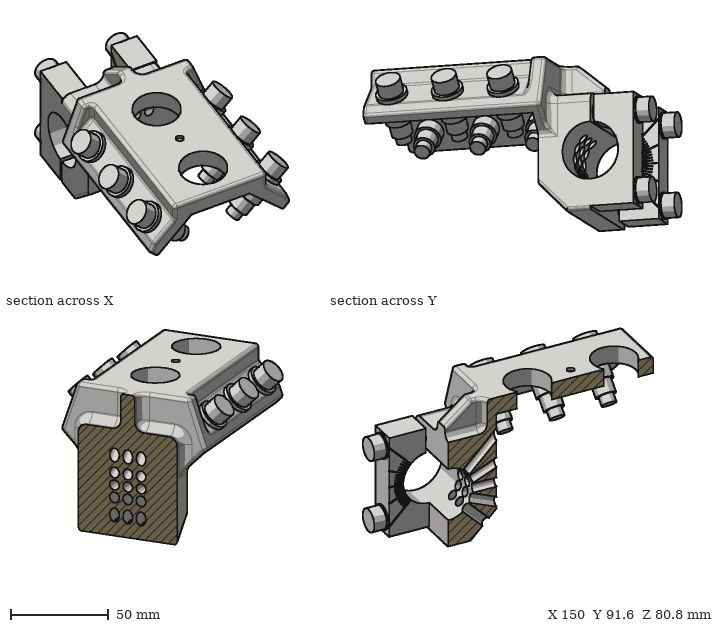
import cadquery as cq
import math

EDGE_R = 2.0
BLEND_R = 5.0
CLEARANCE = 7.5
TOL = 0.2

BORE_R = 15
BODY_LENGTH = 28.0
BODY_HALF_WIDTH = 28.0
SHOULDER_Z = 30.6
BODY_BOTTOM = -30.8
BODY_CHAMFER = 15

PLATE_LEFT = 22.8
PLATE_RIGHT = 118.8
PLATE_TOP = 50.0
PLATE_THICKNESS = 10.0
PLATE_TOP_HALF_WIDTH = 31.8
PLATE_HALF_WIDTH = 41.0
WIDEST_Z = 23.4
INNER_FACE = 28.4

RIB_HALF_WIDTH = 4.0
RIB_FRONT_Z = 37.8
RIB_TOP_X = 15

POCKET_LEFT = 30.9
POCKET_WALL_Y = 27.2
POCKET_FLOOR = 34.0

PLATE_HOLE_R = 12.5
PLATE_HOLE_X = (50.0, 100.0)
PIN_HOLE_X = 74.8
PIN_HOLE_R = 2.1
PIN_HOLE_DEPTH = 2.0
RADIAL_HOLE_R = 2.5
RADIAL_HOLE_LENGTH = 48
RADIAL_HOLE_Y = (-7.5, 0, 7.5)
STATION_ANGLES = (-45, -22.5, 0, 22.5, 45)

SHANK_R = 4.0
HEAD_R = 6.5
RAIL_WASHER_R = 8.1
RAIL_SLEEVE_R = 5.5
RAIL_SCREW_X = (44.7, 74.7, 104.7)
OVERALL_HALF_WIDTH = 45.8
RAIL_HEAD_TOP = OVERALL_HALF_WIDTH - HEAD_R * math.sqrt(0.5)
RAIL_WASHER_TOP = 35.7
RAIL_COLLAR_R = 6.9
RAIL_COLLAR_END = 23.4
RAIL_SLEEVE_END = 17.8
RAIL_SHANK_END = 14.4

CAP_LEFT = -23.2
CAP_HALF_HEIGHT = 29.1
CAP_INNER_Y = 13.0
CAP_GAP = 2.0
CAP_SCREW_Y = 20.5
CAP_SCREW_Z = 21
CAP_HEAD_LEFT = -31.2
CAP_COLLAR_LEFT = -24.2
CAP_COLLAR_R = 6.9
CAP_SCREW_DEPTH = 15

MARK_WIDTH = 0.3
MARK_DEPTH = 0.3
MARK_OUTER_R = 20.0
LONG_MARK_OUTER_R = 37.5
MARKS_PER_STATION = 5


def box(x, y, z):
    """Box given by its (low, high) range along each axis."""
    size = (x[1] - x[0], y[1] - y[0], z[1] - z[0])
    return cq.Workplane("XY").box(*size, centered=False).translate((x[0], y[0], z[0]))


def extrude_along_x(points, left, right):
    outline = cq.Workplane("YZ", origin=(left, 0, 0)).polyline(points).close()
    return outline.extrude(right - left)


def extrude_along_y(points, half_width):
    return cq.Workplane("XZ").polyline(points).close().extrude(half_width, both=True)


def cylinder(start, direction, length, radius):
    return cq.Workplane(cq.Solid.makeCylinder(radius, length, cq.Vector(*start), cq.Vector(*direction)))


def pick_edges(shape, test):
    """Edges of shape whose middle point passes test(x, y, z), with y taken as positive."""
    chosen = []
    for edge in shape.edges().vals():
        middle = edge.Center()
        if test(middle.x, abs(middle.y), middle.z):
            chosen.append(edge)
    return shape.newObject(chosen)


def make_body():
    """Block behind the bore, with rounded shoulders and a chamfered lower corner."""
    corner_x = BODY_LENGTH - BODY_CHAMFER
    corner_z = BODY_BOTTOM + BODY_CHAMFER
    body = extrude_along_y(
        [
            (0, SHOULDER_Z),
            (BODY_LENGTH, SHOULDER_Z),
            (BODY_LENGTH, corner_z),
            (corner_x, BODY_BOTTOM),
            (0, BODY_BOTTOM),
        ],
        BODY_HALF_WIDTH,
    )
    body = body.faces(">Z").edges("|X").fillet(BLEND_R)
    lower_side_edges = pick_edges(
        body,
        lambda x, y, z: y > BODY_HALF_WIDTH - TOL and z < corner_z and TOL < x < BODY_LENGTH - TOL,
    )
    return lower_side_edges.fillet(EDGE_R)


def make_plate():
    """Flanked plate with two legs, solid where it meets the body."""
    offset = PLATE_HALF_WIDTH - WIDEST_Z
    right_half = [
        (PLATE_TOP_HALF_WIDTH, PLATE_TOP),
        (PLATE_HALF_WIDTH, WIDEST_Z),
        (offset, 0),
    ]
    left_half = [(-y, z) for y, z in reversed(right_half)]
    plate = extrude_along_x(right_half + left_half, PLATE_LEFT, PLATE_RIGHT)
    underside = PLATE_TOP - PLATE_THICKNESS
    roof_y = 2 * INNER_FACE - underside
    channel = extrude_along_x(
        [
            (roof_y, underside),
            (roof_y + underside, 0),
            (-roof_y - underside, 0),
            (-roof_y, underside),
        ],
        BODY_LENGTH,
        PLATE_RIGHT,
    )
    return plate.cut(channel)


def make_rib():
    """Sloping rib between the body's shoulder and the plate's top."""
    return extrude_along_y(
        [
            (0, 0),
            (0, RIB_FRONT_Z),
            (RIB_TOP_X, PLATE_TOP),
            (PLATE_LEFT, PLATE_TOP),
            (PLATE_LEFT, 0),
        ],
        RIB_HALF_WIDTH,
    )


def blend_junctions(frame):
    """Round the inside corners between the body, the plate's front face and the rib."""

    def is_junction(x, y, z):
        behind_front = PLATE_LEFT - TOL < x < BODY_LENGTH - TOL
        plate_joint = behind_front and y < BODY_HALF_WIDTH + TOL and 0 < z < PLATE_TOP - TOL
        rib_foot = abs(y - RIB_HALF_WIDTH) < TOL and abs(z - SHOULDER_Z) < TOL
        shoulder_joint = rib_foot and 0 < x < PLATE_LEFT - TOL
        return plate_joint or shoulder_joint

    return pick_edges(frame, is_junction).fillet(BLEND_R)


def make_pocket():
    """Cutter for the pocket on the +Y side, with rounded inner edges."""
    beyond_y = PLATE_HALF_WIDTH + CLEARANCE
    beyond_z = PLATE_TOP + CLEARANCE
    pocket = extrude_along_x(
        [
            (POCKET_WALL_Y, beyond_z),
            (POCKET_WALL_Y, 2 * POCKET_FLOOR - POCKET_WALL_Y),
            (beyond_y, 2 * POCKET_FLOOR - beyond_y),
            (beyond_y, beyond_z),
        ],
        POCKET_LEFT,
        PLATE_RIGHT + CLEARANCE,
    )
    inner_edges = pick_edges(
        pocket,
        lambda x, y, z: x < PLATE_RIGHT and y < PLATE_HALF_WIDTH + CLEARANCE / 2 and z < PLATE_TOP + TOL,
    )
    return inner_edges.fillet(EDGE_R)


def round_outer_edges(frame):
    """Round the rims of the plate, the rib and the pockets."""
    flank_slope = (PLATE_TOP - WIDEST_Z) / (PLATE_HALF_WIDTH - PLATE_TOP_HALF_WIDTH)

    def beside_flank(y, z):
        """True on the flank surface, or within half a rounding of it."""
        flank_y = PLATE_TOP_HALF_WIDTH + (PLATE_TOP - z) / flank_slope
        return abs(y - flank_y) < EDGE_R / 2

    def is_outer(x, y, z):
        top = abs(z - PLATE_TOP) < TOL
        front = abs(x - PLATE_LEFT) < TOL and y > BODY_HALF_WIDTH + BLEND_R + TOL
        widest = abs(y - PLATE_HALF_WIDTH) < TOL
        right_end = abs(x - PLATE_RIGHT) < TOL and y + z > 2 * INNER_FACE + TOL
        pocket_mouth = x > POCKET_LEFT - TOL and beside_flank(y, z)
        rib = 0 < x < RIB_TOP_X and RIB_FRONT_Z < z and y > RIB_HALF_WIDTH - TOL
        return top or front or widest or right_end or pocket_mouth or rib

    return pick_edges(frame, is_outer).fillet(EDGE_R)


def make_cap():
    """Cap of the clamp on the -Y side; its lower half stands clear of the body."""
    cap = box((CAP_LEFT, 0), (-BODY_HALF_WIDTH, -CAP_INNER_Y), (-CAP_HALF_HEIGHT, CAP_HALF_HEIGHT))
    gap = box((-CAP_GAP, 0), (-BODY_HALF_WIDTH, -CAP_INNER_Y), (-CAP_HALF_HEIGHT, 0))
    return cap.cut(gap).cut(make_angle_marks())


def make_angle_marks():
    """Cutters for the radial marks on the -Y cap, with a long mark at each row of holes."""
    station_step = STATION_ANGLES[1] - STATION_ANGLES[0]
    mark_count = MARKS_PER_STATION * (len(STATION_ANGLES) - 1) + 1
    marks = cq.Workplane()
    for index in range(mark_count):
        angle = STATION_ANGLES[0] + index * station_step / MARKS_PER_STATION
        is_long = index % MARKS_PER_STATION == 0
        outer_r = LONG_MARK_OUTER_R if is_long else MARK_OUTER_R
        mark = box(
            (-outer_r, -BORE_R + CLEARANCE),
            (-CAP_INNER_Y - MARK_DEPTH, -CAP_INNER_Y),
            (-MARK_WIDTH / 2, MARK_WIDTH / 2),
        )
        marks = marks.add(mark.rotate((0, 0, 0), (0, 1, 0), angle))
    return marks.combine()


def make_bore():
    """Cutter for the clamp bore through the body and both caps."""
    return cylinder((0, -BODY_HALF_WIDTH, 0), (0, 1, 0), 2 * BODY_HALF_WIDTH, BORE_R)


def make_radial_holes():
    """Rows of holes running outwards from the bore axis."""
    holes = cq.Workplane()
    for angle in STATION_ANGLES:
        direction = (math.cos(math.radians(angle)), 0, math.sin(math.radians(angle)))
        for y in RADIAL_HOLE_Y:
            holes = holes.add(cylinder((0, y, 0), direction, RADIAL_HOLE_LENGTH, RADIAL_HOLE_R))
    return holes.combine()


def make_plate_holes():
    """Cutters for the large through holes and the shallow pin hole between them."""
    holes = cylinder((PIN_HOLE_X, 0, PLATE_TOP - PIN_HOLE_DEPTH), (0, 0, 1), PIN_HOLE_DEPTH, PIN_HOLE_R)
    for x in PLATE_HOLE_X:
        start = (x, 0, PLATE_TOP - PLATE_THICKNESS)
        holes = holes.union(cylinder(start, (0, 0, 1), PLATE_THICKNESS, PLATE_HOLE_R))
    return holes


def make_rail_screw(x, side):
    """Screw through a leg at 45 degrees; its axis runs through y = z = 0."""

    def stage(inner, outer, radius):
        start = (x, side * inner, inner)
        length = (outer - inner) * math.sqrt(2)
        return cylinder(start, (0, side, 1), length, radius)

    shank = stage(RAIL_SHANK_END, RAIL_HEAD_TOP, SHANK_R)
    sleeve = stage(RAIL_SLEEVE_END, INNER_FACE, RAIL_SLEEVE_R)
    collar = stage(RAIL_COLLAR_END, INNER_FACE, RAIL_COLLAR_R)
    washer = stage(POCKET_FLOOR, RAIL_WASHER_TOP, RAIL_WASHER_R)
    head = stage(RAIL_WASHER_TOP, RAIL_HEAD_TOP, HEAD_R)
    return shank.union(sleeve).union(collar).union(washer).union(head)


def make_cap_screw(y, z):
    """Screw along X through a cap into the body."""
    def stage(left, right, radius):
        return cylinder((left, y, z), (1, 0, 0), right - left, radius)

    head = stage(CAP_HEAD_LEFT, CAP_LEFT, HEAD_R)
    collar = stage(CAP_COLLAR_LEFT, CAP_LEFT, CAP_COLLAR_R)
    shank = stage(CAP_LEFT, CAP_SCREW_DEPTH, SHANK_R)
    return head.union(collar).union(shank)


frame = make_body().union(make_plate()).union(make_rib())
frame = blend_junctions(frame)
pocket = make_pocket()
frame = frame.cut(pocket).cut(pocket.mirror("XZ"))
frame = round_outer_edges(frame)
frame = frame.cut(make_radial_holes()).cut(make_plate_holes())

cap = make_cap()
result = frame.union(cap).union(cap.rotate((0, 0, 0), (1, 0, 0), 180)).cut(make_bore())

for side in (-1, 1):
    for x in RAIL_SCREW_X:
        result = result.union(make_rail_screw(x, side))
    for z in (-CAP_SCREW_Z, CAP_SCREW_Z):
        result = result.union(make_cap_screw(side * CAP_SCREW_Y, z))